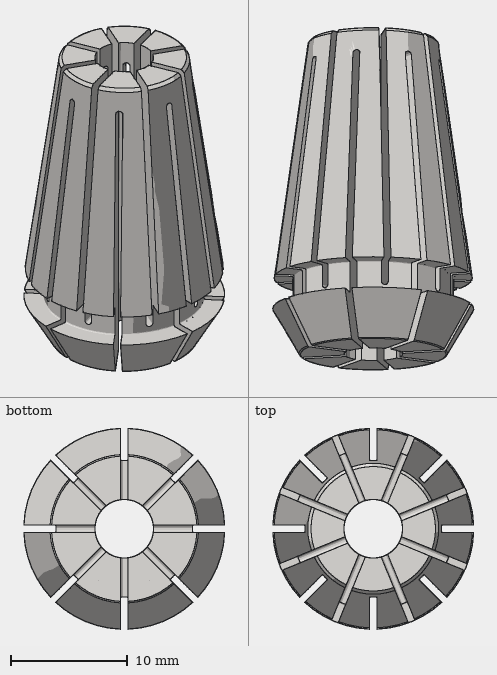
import cadquery as cq
import math

TOTAL_HEIGHT = 27.5
BORE_DIAMETER = 5.0

RIM_DIAMETER = 17.25
NOSE_HEIGHT = 4.0
NOSE_ANGLE = 30.0
NOSE_EDGE_BREAK = 0.08

GROOVE_RADIUS = 6.9
GROOVE_WIDTH = 2.7
GROOVE_FILLET = 0.15

TAPER_BASE_RADIUS = 8.5
TAPER_ANGLE = 8.0
TOP_CHAMFER = 0.28

SLOTS_PER_SIDE = 8
SLOT_WIDTH = 0.6
LOWER_SLOT_TOP = 25.5
UPPER_SLOT_BOTTOM = 4.62

RIM_RADIUS = RIM_DIAMETER / 2
GROOVE_TOP = NOSE_HEIGHT + GROOVE_WIDTH
NOSE_END_RADIUS = RIM_RADIUS - NOSE_HEIGHT * math.tan(math.radians(NOSE_ANGLE))
TAPER_SLOPE = math.tan(math.radians(TAPER_ANGLE))
SHOULDER_HEIGHT = TOTAL_HEIGHT - TOP_CHAMFER
SHOULDER_RADIUS = TAPER_BASE_RADIUS - (SHOULDER_HEIGHT - GROOVE_TOP) * TAPER_SLOPE
SLOT_PITCH = 360.0 / SLOTS_PER_SIDE
CLEARANCE = 0.28


def collet_body():
    """Revolve the half section around the bore."""
    nose_break_radius = NOSE_END_RADIUS + NOSE_EDGE_BREAK * math.tan(math.radians(NOSE_ANGLE))
    fillet_radius = GROOVE_RADIUS + GROOVE_FILLET
    bore_radius = BORE_DIAMETER / 2
    section = (
        cq.Workplane("XZ")
        .moveTo(bore_radius, 0)
        .lineTo(NOSE_END_RADIUS - NOSE_EDGE_BREAK, 0)
        .lineTo(nose_break_radius, NOSE_EDGE_BREAK)
        .lineTo(RIM_RADIUS, NOSE_HEIGHT)
        .lineTo(fillet_radius, NOSE_HEIGHT)
        .radiusArc((GROOVE_RADIUS, NOSE_HEIGHT + GROOVE_FILLET), GROOVE_FILLET)
        .lineTo(GROOVE_RADIUS, GROOVE_TOP - GROOVE_FILLET)
        .radiusArc((fillet_radius, GROOVE_TOP), GROOVE_FILLET)
        .lineTo(TAPER_BASE_RADIUS, GROOVE_TOP)
        .lineTo(SHOULDER_RADIUS, SHOULDER_HEIGHT)
        .lineTo(SHOULDER_RADIUS - TOP_CHAMFER, TOTAL_HEIGHT)
        .lineTo(bore_radius, TOTAL_HEIGHT)
        .close()
    )
    return section.revolve(360, (0, 0, 0), (0, 1, 0))


def radial_slot(closed_end, open_end, angle):
    """Slot from the axis outwards at the given angle, with a full round at its closed end."""
    half_width = SLOT_WIDTH / 2
    toward_opening = math.copysign(half_width, open_end - closed_end)
    round_start = closed_end + toward_opening
    return (
        cq.Workplane("YZ")
        .moveTo(-half_width, open_end)
        .lineTo(-half_width, round_start)
        .threePointArc((0, closed_end), (half_width, round_start))
        .lineTo(half_width, open_end)
        .close()
        .extrude(RIM_RADIUS + CLEARANCE)
        .rotate((0, 0, 0), (0, 0, 1), angle)
    )


result = collet_body()
for index in range(SLOTS_PER_SIDE):
    lower_angle = index * SLOT_PITCH
    upper_angle = lower_angle + SLOT_PITCH / 2
    result = result.cut(radial_slot(LOWER_SLOT_TOP, -CLEARANCE, lower_angle))
    result = result.cut(radial_slot(UPPER_SLOT_BOTTOM, TOTAL_HEIGHT + CLEARANCE, upper_angle))